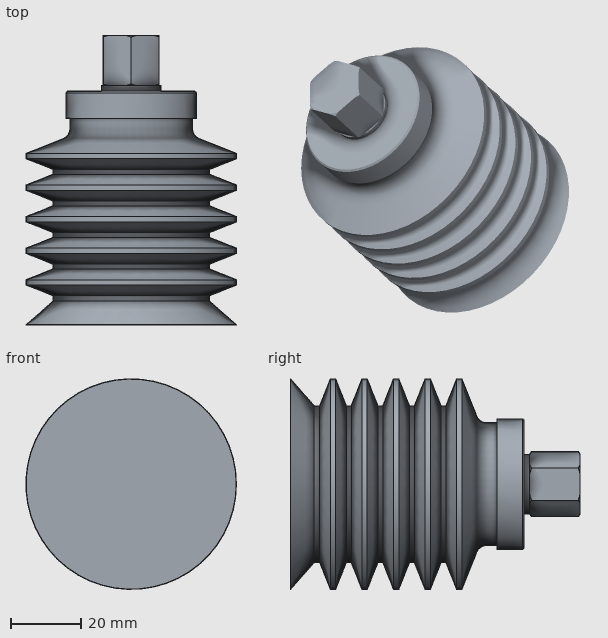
import cadquery as cq
import math

overall_length = 82.5

bellows_radius = 60.0 / 2
groove_radius = 44.6 / 2
ridge_count = 5
ridge_pitch = 9.0
ridge_width = 1.5
groove_width = 1.4
flank_length = (ridge_pitch - ridge_width - groove_width) / 2
top_ridge_end = 48.8
lip_length = 6.8

neck_radius = 35.0 / 2
neck_fillet_radius = 3.0
cap_radius = 37.2 / 2
cap_start = 58.8
cap_end = 66.6
cap_chamfer = 0.5

collar_radius = 17.0 / 2
hex_across_flats = 16.0
hex_length = 14.35
hex_chamfer_length = 0.5
hex_start = overall_length - hex_length
hex_corner_radius = hex_across_flats / 2 / math.cos(math.pi / 6)

flank_angle = math.atan2(flank_length, bellows_radius - groove_radius)
flank_meets_neck = top_ridge_end + (bellows_radius - neck_radius) * math.tan(flank_angle)
fillet_sweep = math.pi / 2 - flank_angle
fillet_tangent = neck_fillet_radius * math.tan(fillet_sweep / 2)
fillet_end = flank_meets_neck + fillet_tangent
fillet_center_radius = neck_radius + neck_fillet_radius


def fillet_point(angle):
    """Point on the neck fillet, at an angle turned from the neck towards the flank."""
    return (
        fillet_center_radius - neck_fillet_radius * math.cos(angle),
        fillet_end - neck_fillet_radius * math.sin(angle),
    )


def make_turned_body():
    """Solid of revolution: lip, bellows, neck, cap and collar."""
    profile = cq.Workplane("XY").moveTo(0, 0).lineTo(bellows_radius, 0).lineTo(groove_radius, lip_length)
    for index in reversed(range(ridge_count)):
        ridge_end = top_ridge_end - index * ridge_pitch
        ridge_start = ridge_end - ridge_width
        profile = (
            profile.lineTo(groove_radius, ridge_start - flank_length)
            .lineTo(bellows_radius, ridge_start)
            .lineTo(bellows_radius, ridge_end)
        )
        if index > 0:
            profile = profile.lineTo(groove_radius, ridge_end + flank_length)
    return (
        profile.lineTo(*fillet_point(fillet_sweep))
        .threePointArc(fillet_point(fillet_sweep / 2), fillet_point(0))
        .lineTo(neck_radius, cap_start)
        .lineTo(cap_radius, cap_start)
        .lineTo(cap_radius, cap_end - cap_chamfer)
        .lineTo(cap_radius - cap_chamfer, cap_end)
        .lineTo(collar_radius, cap_end)
        .lineTo(collar_radius, hex_start)
        .lineTo(0, hex_start)
        .close()
        .revolve(360, (0, 0, 0), (0, 1, 0))
    )


def make_hexagon():
    """Hexagon with flats facing +X and -X, its corners turned down conically at both ends."""
    corners = [
        (
            hex_corner_radius * math.sin(index * math.pi / 3),
            hex_corner_radius * math.cos(index * math.pi / 3),
        )
        for index in range(6)
    ]
    prism = (
        cq.Workplane("XZ", origin=(0, overall_length, 0))
        .polyline(corners)
        .close()
        .extrude(hex_length)
    )
    corner_envelope = (
        cq.Workplane("XY")
        .moveTo(0, hex_start)
        .lineTo(collar_radius, hex_start)
        .lineTo(hex_corner_radius, hex_start + hex_chamfer_length)
        .lineTo(hex_corner_radius, overall_length - hex_chamfer_length)
        .lineTo(collar_radius, overall_length)
        .lineTo(0, overall_length)
        .close()
        .revolve(360, (0, 0, 0), (0, 1, 0))
    )
    return prism.intersect(corner_envelope)


result = make_turned_body().union(make_hexagon())